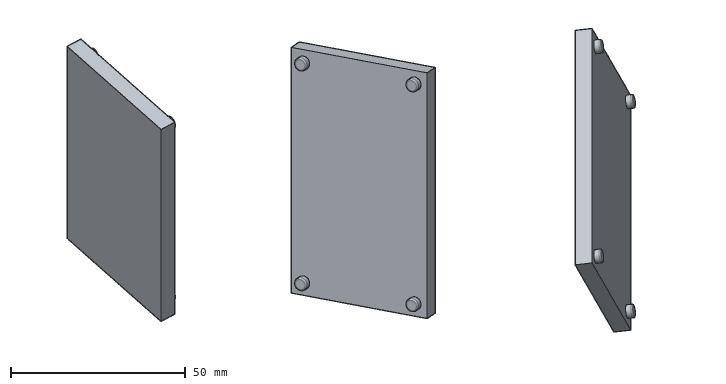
import cadquery as cq

plate_width = 44.0
plate_height = 75.25
total_depth = 7.0

pin_diameter = 4.0
pin_radius = pin_diameter / 2
pin_length = pin_radius
pin_edge_distance = 4.0
pin_tip_fillet = 0.45

plate_thickness = total_depth - pin_length
pin_spacing_x = plate_width - 2 * pin_edge_distance
pin_spacing_z = plate_height - 2 * pin_edge_distance


def make_plate():
    """Flat rectangular plate with its front face at Y = 0."""
    return cq.Workplane("XY").box(
        plate_width, plate_thickness, plate_height, centered=(True, False, True)
    )


def make_pins():
    """Four round pins standing on the back face, with rounded tip edges."""
    back_plane = cq.Workplane("XZ", origin=(0, plate_thickness, 0))
    pin_centers = back_plane.rarray(pin_spacing_x, pin_spacing_z, 2, 2)
    pins = pin_centers.circle(pin_radius).extrude(-pin_length)
    return pins.faces(">Y").edges().fillet(pin_tip_fillet)


result = make_plate().union(make_pins())